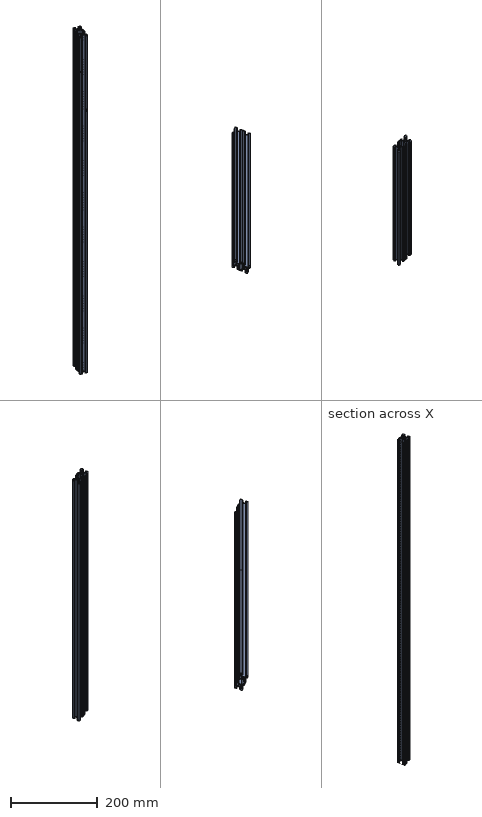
import cadquery as cq
import math

CELL = 20.0
WIDTH = 2 * CELL
LENGTH = 1000.0
CORNER_RADIUS = 1.5

MOUTH_WIDTH = 9.2
THROAT_WIDTH = 5.8
LIP_TIP_THICKNESS = 2.0
LIP_ROOT_THICKNESS = 1.8
CAVITY_WIDTH = 11.0
SLOT_DEPTH = 6.1

BORE_DIAMETER = 4.2
WEB_THICKNESS = 1.5
FLOOR_FILLET_RADIUS = 2.0

GROOVE_WIDTH = 1.0
GROOVE_DEPTH = 0.5

CHAMBER_WALL = 2.0

HALF_CELL = CELL / 2
CELL_CENTERS = (-HALF_CELL, HALF_CELL)
CORE_HALF = HALF_CELL - SLOT_DEPTH
WEB_SPAN = WEB_THICKNESS * math.sqrt(2)


def extrude_outline(points):
    """Prism with the given cross-section over the full length of the rail."""
    return cq.Workplane("XY").polyline(points).close().extrude(LENGTH / 2, both=True)


def make_body():
    """Solid rail with rounded long corners."""
    body = cq.Workplane("XY").rect(WIDTH, CELL).extrude(LENGTH / 2, both=True)
    return body.edges("|Z").fillet(CORNER_RADIUS)


def make_slot():
    """V-slot of a cell centred on the origin, opening on the +Y face, with a rounded floor."""
    taper_depth = (MOUTH_WIDTH - THROAT_WIDTH) / 2
    floor_half = CORE_HALF - WEB_SPAN / 2
    shoulder_height = CAVITY_WIDTH / 2 + WEB_SPAN / 2
    right_side = [
        (MOUTH_WIDTH / 2, HALF_CELL),
        (THROAT_WIDTH / 2, HALF_CELL - taper_depth),
        (THROAT_WIDTH / 2, HALF_CELL - LIP_TIP_THICKNESS),
        (CAVITY_WIDTH / 2, HALF_CELL - LIP_ROOT_THICKNESS),
        (CAVITY_WIDTH / 2, shoulder_height),
        (floor_half, CORE_HALF),
    ]
    left_side = [(-x, y) for x, y in reversed(right_side)]
    slot = extrude_outline(right_side + left_side)
    floor_edges = slot.faces("<Y").edges("|Z")
    return floor_edges.fillet(FLOOR_FILLET_RADIUS)


def make_chamber():
    """Hollow between the cells, bounded by their cores, webs and outer walls."""
    half_width = HALF_CELL - CORE_HALF
    half_height = HALF_CELL - CHAMBER_WALL
    side_half = CORE_HALF - WEB_SPAN / 2
    roof_half = half_width - (half_height - side_half)
    outline = [
        (half_width, side_half),
        (roof_half, half_height),
        (-roof_half, half_height),
        (-half_width, side_half),
        (-half_width, -side_half),
        (-roof_half, -half_height),
        (roof_half, -half_height),
        (half_width, -side_half),
    ]
    return extrude_outline(outline)


def make_bores():
    """Round holes through the cell centres."""
    centers = [(x, 0) for x in CELL_CENTERS]
    return cq.Workplane("XY").pushPoints(centers).circle(BORE_DIAMETER / 2).extrude(LENGTH / 2, both=True)


def cut_slots(body):
    """Slots on both Y faces of each cell and on the outer X face of each cell."""
    slot = make_slot()
    for center in CELL_CENTERS:
        outward_turn = math.copysign(90, -center)
        for turn in (0, 180, outward_turn):
            turned = slot.rotate((0, 0, 0), (0, 0, 1), turn)
            body = body.cut(turned.translate((center, 0, 0)))
    return body


def make_grooves():
    """V-grooves along the middle of the two Y faces."""
    outline = [
        (-GROOVE_WIDTH / 2, HALF_CELL),
        (0, HALF_CELL - GROOVE_DEPTH),
        (GROOVE_WIDTH / 2, HALF_CELL),
    ]
    groove = extrude_outline(outline)
    return groove.union(groove.mirror("XZ"))


result = cut_slots(make_body()).cut(make_grooves()).cut(make_chamber()).cut(make_bores())